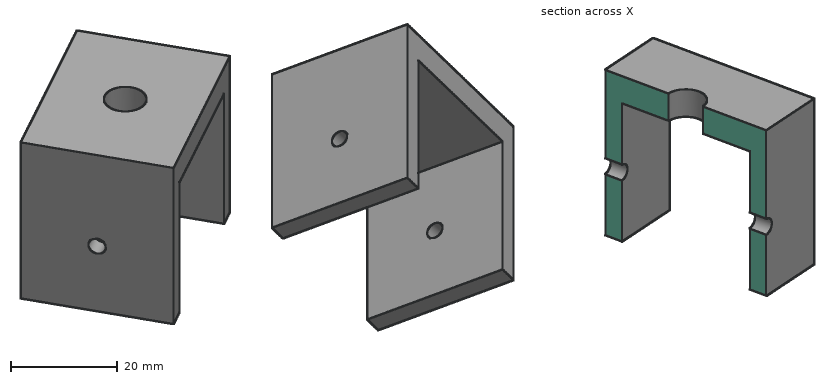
import cadquery as cq

width = 30.0
length = 38.0
height = 36.0

side_thickness = 4.0
top_thickness = 6.0

top_hole_diameter = 8.0
side_hole_diameter = 3.4
side_hole_height = 15.0

channel_length = length - 2 * side_thickness
channel_height = height - top_thickness


def block(size_y, size_z):
    """Full-width block centred in X and Y, standing on Z = 0."""
    return cq.Workplane("XY").box(width, size_y, size_z, centered=(True, True, False))


bracket = block(length, height).cut(block(channel_length, channel_height))

top_hole = cq.Workplane("XY").circle(top_hole_diameter / 2).extrude(height)

side_holes = (
    cq.Workplane("XZ")
    .center(0, side_hole_height)
    .circle(side_hole_diameter / 2)
    .extrude(length / 2, both=True)
)

result = bracket.cut(top_hole).cut(side_holes)